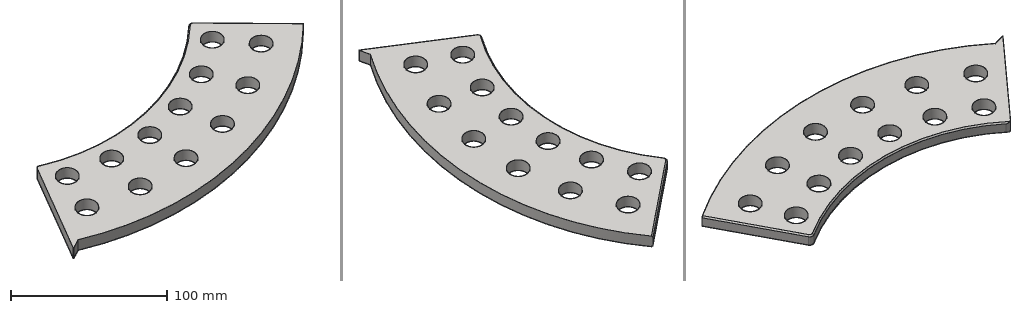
import cadquery as cq
import math

thickness = 9.5
inner_radius = 139.7
sector_angle = 72.0
overall_length = 202.5
outer_radius = overall_length / math.sin(math.radians(sector_angle))

lip_tip_x = 219.0
lip_height = 5.3
lip_tip_height = 0.5

hole_diameter = 15.2
hole_row_radii = (155.7, 187.0)
holes_per_row = 6
hole_pitch_angle = sector_angle / holes_per_row

corner_radius = 3.0
chamfer_size = 1.0


def polar_point(radius, angle):
    """Point at a radius and angle (degrees) about the arc centre."""
    angle_rad = math.radians(angle)
    return (radius * math.cos(angle_rad), radius * math.sin(angle_rad))


def sector_plate():
    lip_angle = math.degrees(math.asin(lip_height / outer_radius))
    return (
        cq.Workplane("XY")
        .moveTo(inner_radius, 0)
        .lineTo(lip_tip_x, 0)
        .lineTo(lip_tip_x, lip_tip_height)
        .lineTo(*polar_point(outer_radius, lip_angle))
        .threePointArc(
            polar_point(outer_radius, (lip_angle + sector_angle) / 2),
            polar_point(outer_radius, sector_angle),
        )
        .lineTo(*polar_point(inner_radius, sector_angle))
        .threePointArc(
            polar_point(inner_radius, sector_angle / 2),
            (inner_radius, 0),
        )
        .close()
        .extrude(thickness)
    )


def round_inner_corner(plate, angle):
    """Round the upright edge where the inner arc ends at the given angle."""
    x, y = polar_point(inner_radius, angle)
    corner = cq.selectors.NearestToPointSelector((x, y, thickness / 2))
    return plate.edges("|Z").edges(corner).fillet(corner_radius)


def chamfer_end_and_inner_arc(plate):
    """Bevel the slanted end and, through the rounded corner, the inner arc on both faces."""
    mid_radius = (inner_radius + outer_radius) / 2
    x, y = polar_point(mid_radius, sector_angle)
    for z in (0, thickness):
        end_edge = cq.selectors.NearestToPointSelector((x, y, z))
        plate = plate.edges(end_edge).chamfer(chamfer_size)
    return plate


def hole_centres():
    return [
        polar_point(row_radius, (index + 0.5) * hole_pitch_angle)
        for row_radius in hole_row_radii
        for index in range(holes_per_row)
    ]


plate = round_inner_corner(sector_plate(), sector_angle)
plate = chamfer_end_and_inner_arc(plate)
plate = round_inner_corner(plate, 0)
holes = cq.Workplane("XY").pushPoints(hole_centres()).circle(hole_diameter / 2).extrude(thickness)
result = plate.cut(holes)